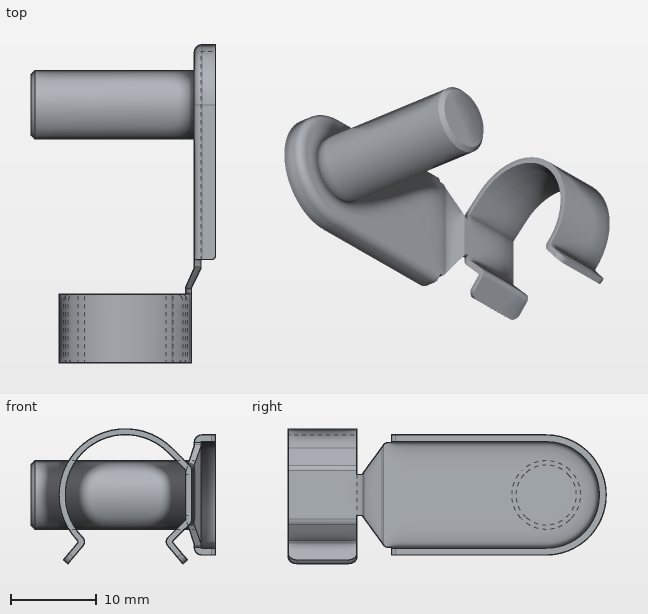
import cadquery as cq
import math


PIN_DIAMETER = 8.0
PIN_LENGTH = 19.0
PIN_CHAMFER = 0.5

PLATE_THICKNESS = 0.8
PLATE_RADIUS = 7.0
FLANGE_DEPTH = 2.5
FLANGE_END_Y = -18.0
FLANGE_CORNER_RADIUS = 0.5
BEND_RADIUS = 0.9
WEB_HALF_WIDTH = PLATE_RADIUS - BEND_RADIUS

JOG_START_Y = -18.95
JOG_END_Y = -21.2
JOG_OFFSET = 1.0
JOG_BEND_RADIUS = 0.3
TAPER_START_Y = -18.7
TAPER_END_Y = -21.4
NECK_WIDTH = 4.8
WEB_CORNER_RADIUS = 0.6

CLIP_THICKNESS = 0.7
CLIP_INNER_RADIUS = 7.0
CLIP_OUTER_RADIUS = CLIP_INNER_RADIUS + CLIP_THICKNESS
CLIP_START_Y = -22.0
CLIP_WIDTH = 8.0
CLIP_BACK_X = CLIP_THICKNESS - JOG_OFFSET
CLIP_CENTER_X = CLIP_BACK_X - CLIP_OUTER_RADIUS
CLIP_INSIDE_BEND = 0.2
CLIP_OUTSIDE_BEND = CLIP_INSIDE_BEND + CLIP_THICKNESS
LIP_ANGLE = math.radians(50)
LIP_LENGTH = 2.75
LIP_CORNER_RADIUS = 1.0

DIAGONAL = math.sqrt(0.5)

PICK_MARGIN = 0.1
PICK_FAR = 100.0


def near(x=None, y=None, z=None):
    """Selector for edges whose centre lies near the given coordinates; None means anywhere."""
    low = [-PICK_FAR if value is None else value - PICK_MARGIN for value in (x, y, z)]
    high = [PICK_FAR if value is None else value + PICK_MARGIN for value in (x, y, z)]
    return cq.selectors.BoxSelector(tuple(low), tuple(high))


def make_pin():
    """Round pin with a chamfered free end, running through the plate web."""
    return (
        cq.Workplane("YZ")
        .workplane(offset=-PIN_LENGTH)
        .circle(PIN_DIAMETER / 2)
        .extrude(PIN_LENGTH + PLATE_THICKNESS)
        .faces("<X")
        .chamfer(PIN_CHAMFER)
    )


def rounded_slab(radius, start_x, end_x):
    """Slab with one semicircular end around the pin axis, cut square at the flange end."""
    return (
        cq.Workplane("YZ")
        .workplane(offset=start_x)
        .moveTo(FLANGE_END_Y, radius)
        .lineTo(0, radius)
        .threePointArc((radius, 0), (0, -radius))
        .lineTo(FLANGE_END_Y, -radius)
        .close()
        .extrude(end_x - start_x)
    )


def make_plate():
    """Shallow tray: flat web with a bent-up flange along both sides and the round end."""
    outer = rounded_slab(PLATE_RADIUS, 0, FLANGE_DEPTH)
    outer = outer.faces("<X").edges("not <Y").fillet(BEND_RADIUS)
    inner_radius = PLATE_RADIUS - PLATE_THICKNESS
    hollow = rounded_slab(inner_radius, PLATE_THICKNESS, FLANGE_DEPTH)
    hollow = hollow.faces("<X").edges("not <Y").fillet(BEND_RADIUS - PLATE_THICKNESS)
    tray = outer.cut(hollow)
    return tray.edges("|Z and >X and <Y").fillet(FLANGE_CORNER_RADIUS)


def make_neck():
    """Web extension that steps sideways and tapers down to the clip width."""
    back_shift = (PLATE_THICKNESS - CLIP_THICKNESS) / 2
    side = (
        cq.Workplane("XY")
        .workplane(offset=-WEB_HALF_WIDTH)
        .moveTo(0, FLANGE_END_Y)
        .lineTo(0, JOG_START_Y)
        .lineTo(-JOG_OFFSET, JOG_END_Y)
        .lineTo(-JOG_OFFSET, CLIP_START_Y)
        .lineTo(CLIP_BACK_X, CLIP_START_Y)
        .lineTo(CLIP_BACK_X, JOG_END_Y - back_shift)
        .lineTo(PLATE_THICKNESS, JOG_START_Y - back_shift)
        .lineTo(PLATE_THICKNESS, FLANGE_END_Y)
        .close()
        .extrude(2 * WEB_HALF_WIDTH)
    )
    for bend_y in (JOG_START_Y, JOG_END_Y):
        side = side.edges("|Z").edges(near(y=bend_y - back_shift / 2)).fillet(JOG_BEND_RADIUS)
    outline = (
        cq.Workplane("YZ")
        .workplane(offset=-JOG_OFFSET)
        .moveTo(FLANGE_END_Y, WEB_HALF_WIDTH)
        .lineTo(TAPER_START_Y, WEB_HALF_WIDTH)
        .lineTo(TAPER_END_Y, NECK_WIDTH / 2)
        .lineTo(CLIP_START_Y, NECK_WIDTH / 2)
        .lineTo(CLIP_START_Y, -NECK_WIDTH / 2)
        .lineTo(TAPER_END_Y, -NECK_WIDTH / 2)
        .lineTo(TAPER_START_Y, -WEB_HALF_WIDTH)
        .lineTo(FLANGE_END_Y, -WEB_HALF_WIDTH)
        .close()
        .extrude(JOG_OFFSET + PLATE_THICKNESS)
    )
    outline = outline.edges("|X").edges(near(y=TAPER_START_Y)).fillet(WEB_CORNER_RADIUS)
    return side.intersect(outline)


def make_clip():
    """C-shaped spring clip with a flat back and two flared entry lips.

    Profile points are relative to the clip axis; the left side mirrors the right.
    """
    outer_diagonal = CLIP_OUTER_RADIUS * DIAGONAL
    inner_diagonal = CLIP_INNER_RADIUS * DIAGONAL
    outer_back = CLIP_OUTER_RADIUS * (math.sqrt(2) - 1)
    inner_back = CLIP_INNER_RADIUS * (math.sqrt(2) - 1)
    lip_x = LIP_LENGTH * math.cos(LIP_ANGLE)
    lip_z = LIP_LENGTH * math.sin(LIP_ANGLE)
    step_x = CLIP_THICKNESS * math.sin(LIP_ANGLE)
    step_z = CLIP_THICKNESS * math.cos(LIP_ANGLE)
    tip_x = outer_diagonal + lip_x
    tip_z = -outer_diagonal - lip_z
    bend_end_x = outer_diagonal - step_x
    bend_end_z = -outer_diagonal - step_z
    bend_mid_angle = (LIP_ANGLE - math.pi / 2 + math.pi / 4) / 2
    bend_mid_x = outer_diagonal - CLIP_THICKNESS * math.cos(bend_mid_angle)
    bend_mid_z = -outer_diagonal + CLIP_THICKNESS * math.sin(bend_mid_angle)

    clip = (
        cq.Workplane("XZ", origin=(CLIP_CENTER_X, CLIP_START_Y, 0))
        .moveTo(tip_x, tip_z)
        .lineTo(outer_diagonal, -outer_diagonal)
        .lineTo(CLIP_OUTER_RADIUS, -outer_back)
        .lineTo(CLIP_OUTER_RADIUS, outer_back)
        .lineTo(outer_diagonal, outer_diagonal)
        .threePointArc((-outer_diagonal, outer_diagonal), (-outer_diagonal, -outer_diagonal))
        .lineTo(-tip_x, tip_z)
        .lineTo(-tip_x + step_x, tip_z - step_z)
        .lineTo(-bend_end_x, bend_end_z)
        .threePointArc((-bend_mid_x, bend_mid_z), (-inner_diagonal, -inner_diagonal))
        .threePointArc((-inner_diagonal, inner_diagonal), (inner_diagonal, inner_diagonal))
        .lineTo(CLIP_INNER_RADIUS, inner_back)
        .lineTo(CLIP_INNER_RADIUS, -inner_back)
        .lineTo(inner_diagonal, -inner_diagonal)
        .threePointArc((bend_mid_x, bend_mid_z), (bend_end_x, bend_end_z))
        .lineTo(tip_x - step_x, tip_z - step_z)
        .close()
        .extrude(CLIP_WIDTH)
    )
    back_inside_x = CLIP_BACK_X - CLIP_THICKNESS
    clip = clip.edges("|Y").edges(near(x=back_inside_x)).fillet(CLIP_INSIDE_BEND)
    clip = clip.edges("|Y").edges(near(x=CLIP_BACK_X)).fillet(CLIP_OUTSIDE_BEND)
    for side in (-1, 1):
        root_x = CLIP_CENTER_X + side * outer_diagonal
        clip = clip.edges("|Y").edges(near(x=root_x, z=-outer_diagonal)).fillet(CLIP_INSIDE_BEND)
    lip_corners = near(z=tip_z - step_z / 2)
    return clip.edges(lip_corners).edges("not |Y").fillet(LIP_CORNER_RADIUS)


result = make_plate().union(make_pin()).union(make_neck()).union(make_clip())